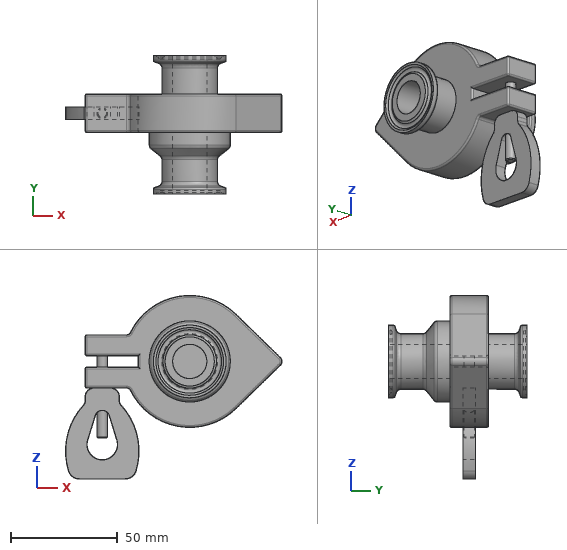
import cadquery as cq
import math


clamp_thickness = 18.0
clamp_radius = 30.9
clamp_edge_fillet = 0.9
nose_half_angle = math.radians(44.3)
nose_radius = 2.5
ear_end_x = -48.9
ear_half_height = 12.5
ear_root_fillet = 2.0
slot_end_x = -24.1
slot_half_height = 2.6

front_end_y = -37.9
rear_end_y = 27.1
tube_radius = 26.0 / 2
bore_radius = 16.0 / 2
flange_radius = 34.0 / 2
flange_rim = 2.9
flange_slope = math.radians(20)
flange_rim_fillet = 0.9
flange_root_fillet = 2.2
body_radius = 38.0 / 2
cone_start_y = -15.9
cone_end_y = -20.7
cone_fillet = 2.0

groove_center_radius = 13.7
groove_radius = 1.2
groove_depth = 1.7
groove_lip_radius = 1.0

pin_x = -40.9
pin_radius = 5.0 / 2
pin_bottom_z = -35.7
pin_top_z = 6.3
pin_chamfer = 0.5
nut_thickness = 5.9
nut_half_width = 17.2
nut_bottom_z = -55.0
nut_side_radius = 31.6
nut_side_center_z = -41.9
nut_neck_half_width = 8.0
nut_shoulder_fillet = 4.0
nut_neck_fillet = 3.0
nut_base_fillet = 5.3
eye_big_radius = 7.1
eye_big_z = -38.9
eye_small_radius = 3.3
eye_small_z = -26.2


def prism(outline, thickness):
    """Extrude a closed XZ outline to a plate centred on Y = 0."""
    return outline.extrude(thickness / 2, both=True)


def fillet_corners(plate, radius, points):
    """Round the plate edges that run along Y through the given XZ points."""
    picked = plate.edges("|Y").filter(
        lambda edge: any(math.hypot(edge.Center().x - x, edge.Center().z - z) < 0.01 for x, z in points)
    )
    return picked.fillet(radius)


def fillet_ring(solid, radius, ring_radius, ring_y):
    """Round the circular edge of the given radius at the given place on the Y axis."""
    picked = solid.edges("%CIRCLE").filter(
        lambda edge: abs(edge.radius() - ring_radius) < 0.01 and abs(edge.Center().y - ring_y) < 0.01
    )
    return picked.fillet(radius)


def make_clamp():
    tangent_x = clamp_radius * math.sin(nose_half_angle)
    tangent_z = clamp_radius * math.cos(nose_half_angle)
    nose_x = clamp_radius / math.sin(nose_half_angle)
    ear_root_x = -math.sqrt(clamp_radius**2 - ear_half_height**2)

    plate = prism(
        cq.Workplane("XZ")
        .moveTo(ear_end_x, ear_half_height)
        .lineTo(ear_root_x, ear_half_height)
        .threePointArc((0, clamp_radius), (tangent_x, tangent_z))
        .lineTo(nose_x, 0)
        .lineTo(tangent_x, -tangent_z)
        .threePointArc((0, -clamp_radius), (ear_root_x, -ear_half_height))
        .lineTo(ear_end_x, -ear_half_height)
        .lineTo(ear_end_x, -slot_half_height)
        .lineTo(slot_end_x, -slot_half_height)
        .lineTo(slot_end_x, slot_half_height)
        .lineTo(ear_end_x, slot_half_height)
        .close(),
        clamp_thickness,
    )
    ear_roots = [(ear_root_x, side * ear_half_height) for side in (-1, 1)]
    ear_corners = [
        (ear_end_x, side * height) for side in (-1, 1) for height in (slot_half_height, ear_half_height)
    ]
    plate = fillet_corners(plate, nose_radius, [(nose_x, 0)])
    plate = fillet_corners(plate, ear_root_fillet, ear_roots)
    plate = fillet_corners(plate, clamp_edge_fillet, ear_corners)
    return plate.faces("<Y or >Y").edges().fillet(clamp_edge_fillet)


def revolve_points(points):
    """Revolve an outline of (radius, y) points about the Y axis."""
    return cq.Workplane("XY").polyline(points).close().revolve(360, (0, 0, 0), (0, 1, 0))


def make_groove():
    """Ring cutter for a face at Y = 0, cutting toward +Y: round bottom, lips rounded into the face."""
    reach = groove_radius + groove_lip_radius
    bottom_center = groove_depth - groove_radius
    lip_offset = math.sqrt(reach**2 - (groove_lip_radius - bottom_center) ** 2)
    share = groove_radius / reach
    joint_offset = lip_offset * share
    joint_y = bottom_center + (groove_lip_radius - bottom_center) * share
    return (
        cq.Workplane("XY")
        .moveTo(groove_center_radius - lip_offset, 0)
        .radiusArc((groove_center_radius - joint_offset, joint_y), groove_lip_radius)
        .threePointArc((groove_center_radius, groove_depth), (groove_center_radius + joint_offset, joint_y))
        .radiusArc((groove_center_radius + lip_offset, 0), groove_lip_radius)
        .close()
        .revolve(360, (0, 0, 0), (0, 1, 0))
    )


def make_ferrule(length):
    """Tube end with its face at Y = 0 and its material toward +Y."""
    slope_end_y = flange_rim + (flange_radius - tube_radius) * math.tan(flange_slope)
    ferrule = revolve_points(
        [
            (0, 0),
            (flange_radius, 0),
            (flange_radius, flange_rim),
            (tube_radius, slope_end_y),
            (tube_radius, length),
            (0, length),
        ]
    )
    ferrule = fillet_ring(ferrule, flange_rim_fillet, flange_radius, flange_rim)
    ferrule = fillet_ring(ferrule, flange_root_fillet, tube_radius, slope_end_y)
    return ferrule.cut(make_groove())


def make_bore(length):
    """Blind bore from a ferrule face at Y = 0 toward +Y."""
    return cq.Workplane("XZ").circle(bore_radius).extrude(-length)


def make_body():
    """Wide front part of the valve, coned down to the front tube."""
    body = revolve_points(
        [
            (0, 0),
            (body_radius, 0),
            (body_radius, cone_start_y),
            (tube_radius, cone_end_y),
            (0, cone_end_y),
        ]
    )
    return fillet_ring(body, cone_fillet, body_radius, cone_start_y)


def make_pin():
    """Round pin across the slot, ending inside the upper ear and showing in the nut's eye."""
    return (
        cq.Workplane("XY", origin=(pin_x, 0, pin_bottom_z))
        .circle(pin_radius)
        .extrude(pin_top_z - pin_bottom_z)
        .faces("<Z")
        .chamfer(pin_chamfer)
    )


def make_eye():
    """Teardrop opening: two circles joined by their outer tangent lines."""
    tilt = math.asin((eye_big_radius - eye_small_radius) / (eye_small_z - eye_big_z))

    def tangent_point(radius, center_z, side):
        return (side * radius * math.cos(tilt), center_z + radius * math.sin(tilt))

    return prism(
        cq.Workplane("XZ", origin=(pin_x, 0, 0))
        .moveTo(*tangent_point(eye_big_radius, eye_big_z, 1))
        .lineTo(*tangent_point(eye_small_radius, eye_small_z, 1))
        .threePointArc((0, eye_small_z + eye_small_radius), tangent_point(eye_small_radius, eye_small_z, -1))
        .lineTo(*tangent_point(eye_big_radius, eye_big_z, -1))
        .threePointArc((0, eye_big_z - eye_big_radius), tangent_point(eye_big_radius, eye_big_z, 1))
        .close(),
        nut_thickness,
    )


def make_wing_nut():
    side_center_x = nut_half_width - nut_side_radius

    def side_z(half_width):
        return nut_side_center_z + math.sqrt(nut_side_radius**2 - (half_width - side_center_x) ** 2)

    top_z = -ear_half_height
    neck_z = side_z(nut_neck_half_width)
    base_half_width = side_center_x + math.sqrt(nut_side_radius**2 - (nut_bottom_z - nut_side_center_z) ** 2)

    plate = prism(
        cq.Workplane("XZ", origin=(pin_x, 0, 0))
        .moveTo(-nut_neck_half_width, top_z)
        .lineTo(nut_neck_half_width, top_z)
        .lineTo(nut_neck_half_width, neck_z)
        .threePointArc((nut_half_width, nut_side_center_z), (base_half_width, nut_bottom_z))
        .lineTo(-base_half_width, nut_bottom_z)
        .threePointArc((-nut_half_width, nut_side_center_z), (-nut_neck_half_width, neck_z))
        .close(),
        nut_thickness,
    )
    for radius, half_width, z in (
        (nut_shoulder_fillet, nut_neck_half_width, top_z),
        (nut_neck_fillet, nut_neck_half_width, neck_z),
        (nut_base_fillet, base_half_width, nut_bottom_z),
    ):
        plate = fillet_corners(plate, radius, [(pin_x - half_width, z), (pin_x + half_width, z)])
    return plate.cut(make_eye())


def place_front(part):
    """Move a part built from a face at Y = 0 to the front end."""
    return part.translate((0, front_end_y, 0))


def place_rear(part):
    """Turn a part built from a face at Y = 0 around and move it to the rear end."""
    return part.mirror("XZ").translate((0, rear_end_y, 0))


def make_valve():
    """Body and both ferrules, with bores that stop at the clamp faces around a closed seat."""
    front_length = -front_end_y
    rear_length = rear_end_y
    seat_half = clamp_thickness / 2
    valve = (
        make_body()
        .union(place_front(make_ferrule(front_length)))
        .union(place_rear(make_ferrule(rear_length)))
    )
    valve = fillet_ring(valve, cone_fillet, tube_radius, cone_end_y)
    return (
        valve
        .cut(place_front(make_bore(front_length - seat_half)))
        .cut(place_rear(make_bore(rear_length - seat_half)))
    )


result = make_clamp().union(make_valve()).union(make_wing_nut()).union(make_pin())